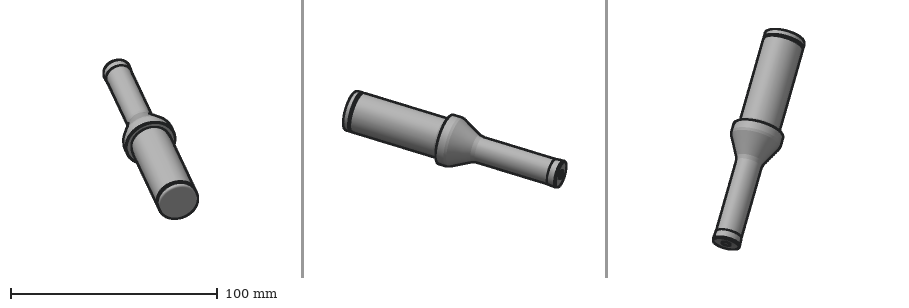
import cadquery as cq

LENGTH = 111.0
TIP_BEVEL_END = 0.8
TIP_END = 4.8
STEM_END = 42.7
CONE_START = 44.8
CONE_END = 55.2
COLLAR_START = 56.5
COLLAR_END = 61.0
RELIEF_END = 61.9
SHANK_START = 62.8
SHANK_END = 106.9
END_TAPER_END = 107.6
END_RELIEF_END = 107.9

TIP_DIAMETER = 13.5
TIP_FACE_DIAMETER = 13.0
TIP_REAR_DIAMETER = 13.1
STEM_DIAMETER = 12.9
CONE_START_DIAMETER = 13.8
CONE_END_DIAMETER = 24.3
COLLAR_DIAMETER = 25.0
SHANK_DIAMETER = 20.0
RELIEF_DIAMETER = 19.5
END_ROUND = 1.1
COLLAR_BEVEL = 0.3

RECESS_DIAMETER = 9.1
RECESS_FLOOR_DIAMETER = 6.3
RECESS_BOSS_DIAMETER = 4.4
RECESS_DEPTH = 0.17


def revolve_profile(stations):
    """Revolve (x, diameter) stations about the X axis into a solid."""
    outline = [(x, diameter / 2) for x, diameter in stations]
    return cq.Workplane("XY").polyline(outline).close().revolve(360, (0, 0, 0), (1, 0, 0))


def make_tip():
    """Tip with a bevelled face, a slight back taper and a ring recess around a flush centre boss."""
    return revolve_profile([
        (TIP_END, 0),
        (0, 0),
        (0, RECESS_BOSS_DIAMETER),
        (RECESS_DEPTH, RECESS_BOSS_DIAMETER),
        (RECESS_DEPTH, RECESS_FLOOR_DIAMETER),
        (0, RECESS_DIAMETER),
        (0, TIP_FACE_DIAMETER),
        (TIP_BEVEL_END, TIP_DIAMETER),
        (TIP_END, TIP_REAR_DIAMETER),
    ])


def make_holder():
    """Stem, flared collar and cylindrical shank with a relief at each end and a rounded rear edge."""
    return revolve_profile([
        (TIP_END, 0),
        (TIP_END, STEM_DIAMETER),
        (STEM_END, STEM_DIAMETER),
        (CONE_START, CONE_START_DIAMETER),
        (CONE_END, CONE_END_DIAMETER),
        (COLLAR_START, COLLAR_DIAMETER),
        (COLLAR_END - COLLAR_BEVEL, COLLAR_DIAMETER),
        (COLLAR_END, COLLAR_DIAMETER - 2 * COLLAR_BEVEL),
        (COLLAR_END, RELIEF_DIAMETER),
        (RELIEF_END, RELIEF_DIAMETER),
        (SHANK_START, SHANK_DIAMETER),
        (SHANK_END, SHANK_DIAMETER),
        (END_TAPER_END, RELIEF_DIAMETER),
        (END_RELIEF_END, RELIEF_DIAMETER),
        (END_RELIEF_END, SHANK_DIAMETER),
        (LENGTH, SHANK_DIAMETER),
        (LENGTH, 0),
    ]).faces(">X").edges().fillet(END_ROUND)


tip = make_tip()
holder = make_holder()
result = cq.Compound.makeCompound([tip.val(), holder.val()])